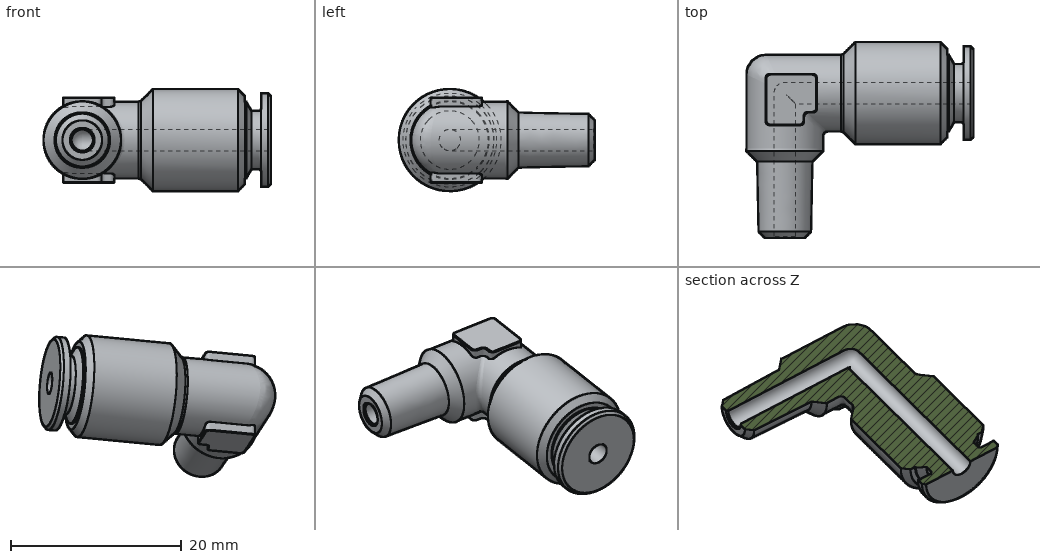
import cadquery as cq


elbow_radius = 4.5
outer_bend_radius = 2.3
inner_bend_radius = 0.5
rounding_cap = 0.03
rounded_half_height = elbow_radius - rounding_cap

neck_end = 6.55
neck_flare_end = 6.88
neck_flare_radius = 4.61
body_radius = 6.0
body_start = neck_flare_end + body_radius - neck_flare_radius
body_chamfer = 0.83
body_end = 19.05

collar_radius = elbow_radius
collar_end = 19.2
sleeve_radius = 3.45
sleeve_start = 19.82
flange_radius = 5.5
flange_start = 20.94
flange_chamfer = 0.35
flange_end = 22.1
sleeve_fillet = 0.27

flare_start = 6.5
flare_end = 6.75
flare_radius = 4.55
stem_root = 8.03
stem_root_radius = 3.25
stem_tip_radius = 3.1
stem_chamfer = 0.77
stem_end = 17.0

bore_radius = 1.25
bore_chamfer = 0.2

pad_size = 6.0
pad_notch = 1.5
pad_overhang = 3.75
pad_height = 5.01
pad_corner_radius = 0.5
pad_rim_chamfer = 0.08


def mitre_edges(x_side):
    """Selector for the mitre edges, outside the bend for x_side -1 and inside it for +1."""
    near = x_side * elbow_radius / 3
    far = x_side * elbow_radius
    return cq.selectors.BoxSelector((near, -near, -elbow_radius), (far, -far, elbow_radius))


def make_elbow():
    """Two equal cylinders meeting at a mitre that is rounded outside and inside the bend."""
    run = cq.Workplane("YZ").circle(elbow_radius).extrude(neck_end)
    stem = cq.Workplane("XZ").circle(elbow_radius).extrude(flare_start)
    run_across = cq.Workplane("YZ").circle(elbow_radius).extrude(elbow_radius, both=True)
    stem_across = cq.Workplane("XZ").circle(elbow_radius).extrude(elbow_radius, both=True)
    corner = run_across.intersect(stem_across)

    slab = cq.Workplane("XY").box(2 * flange_end, 2 * stem_end, 2 * rounded_half_height)
    core = run.union(stem).union(corner).clean().intersect(slab)
    core = core.edges(mitre_edges(-1)).fillet(outer_bend_radius)
    core = core.edges(mitre_edges(1)).fillet(inner_bend_radius)
    return core.union(run).union(stem)


def make_socket():
    """Tube socket body with its release sleeve, turned about X."""
    profile = (
        cq.Workplane("XY").moveTo(0, 0)
        .lineTo(0, elbow_radius)
        .lineTo(neck_end, elbow_radius)
        .lineTo(neck_flare_end, neck_flare_radius)
        .lineTo(body_start, body_radius)
        .lineTo(body_end - body_chamfer, body_radius)
        .lineTo(body_end, body_radius - body_chamfer)
        .lineTo(body_end, collar_radius)
        .lineTo(collar_end, collar_radius)
        .lineTo(sleeve_start, sleeve_radius)
        .lineTo(flange_start - sleeve_fillet, sleeve_radius)
        .radiusArc((flange_start, sleeve_radius + sleeve_fillet), -sleeve_fillet)
        .lineTo(flange_start, flange_radius)
        .lineTo(flange_end - flange_chamfer, flange_radius)
        .lineTo(flange_end, flange_radius - flange_chamfer)
        .lineTo(flange_end, 0)
    )
    return profile.close().revolve(360, (0, 0, 0), (1, 0, 0))


def make_stem():
    """Shoulder and tapered plug-in stem, turned about Y."""
    profile = [
        (0, 0),
        (elbow_radius, 0),
        (elbow_radius, -flare_start),
        (flare_radius, -flare_end),
        (stem_root_radius, -stem_root),
        (stem_tip_radius, stem_chamfer - stem_end),
        (stem_tip_radius - stem_chamfer, -stem_end),
        (0, -stem_end),
    ]
    return cq.Workplane("XY").polyline(profile).close().revolve(360, (0, 0, 0), (0, 1, 0))


def make_pads():
    """Square pads above and below the elbow, each notched at the inside of the bend."""
    far = pad_overhang
    near = pad_overhang - pad_size
    notch = far - pad_notch
    outline = [(near, -near), (far, -near), (far, -notch), (notch, -notch), (notch, -far), (near, -far)]
    return (
        cq.Workplane("XY").polyline(outline).close().extrude(pad_height, both=True)
        .edges("|Z").fillet(pad_corner_radius)
        .faces("<Z or >Z").chamfer(pad_rim_chamfer)
    )


def make_bore():
    """L-shaped passage with a ball end at the bend, open at the stem tip and the sleeve."""
    stem_bore = cq.Workplane("XZ").circle(bore_radius).extrude(stem_end)
    run_bore = cq.Workplane("YZ").circle(bore_radius).extrude(flange_end)
    bend = cq.Workplane("XY").sphere(bore_radius)
    mouth_radius = bore_radius + bore_chamfer
    tip = cq.Vector(0, -stem_end, 0)
    inward = cq.Vector(0, 1, 0)
    mouth = cq.Workplane(cq.Solid.makeCone(mouth_radius, bore_radius, bore_chamfer, tip, inward))
    return stem_bore.union(run_bore).union(bend).union(mouth)


fitting = make_elbow().union(make_socket()).union(make_stem()).union(make_pads())
result = fitting.cut(make_bore())